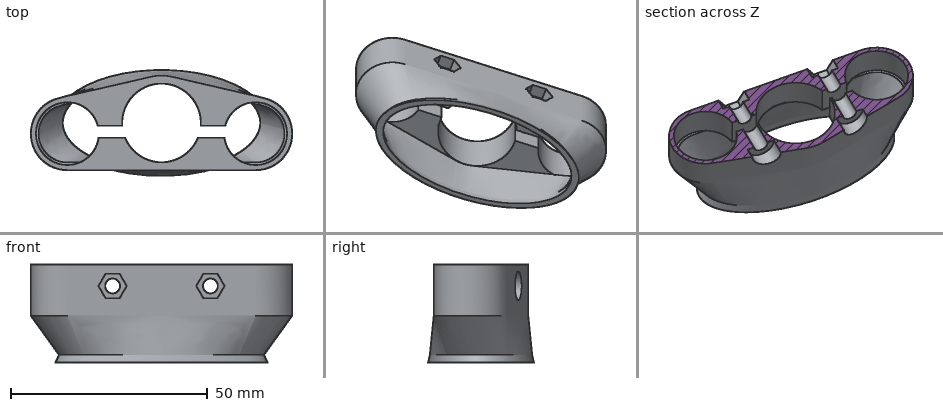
import cadquery as cq
import math

flange_height = 2.0
skirt_height = 10.0
clamp_height = 13.0
clamp_base = flange_height + skirt_height

overall_length = 66.5
center_radius = 12.05
lobe_radius = 9.3
lobe_x = overall_length / 2 - lobe_radius
lobe_y = lobe_radius - center_radius
center_bore_radius = 10.0
lobe_bore_radius = 8.0

foot_half_x = 27.0
foot_half_y = 13.5
waist_half_x = 26.05
waist_half_y = 13.0
opening_half_x = 25.05
opening_half_y = 12.25
wall = 2.0

slot_width = 3.0
slot_y = -2.25
bolt_x = 12.45
bolt_z = 19.5
bolt_diameter = 3.7
head_diameter = 7.2
nut_depth = 3.0
head_seat_y = 6.0


def clamp_outline(z, inset=0.0):
    """Tangent hull of the three clamp circles, reduced by inset."""
    big = center_radius - inset
    small = lobe_radius - inset
    tilt = 2 * math.atan2(-lobe_y, lobe_x)
    nx = math.sin(tilt)
    ny = math.cos(tilt)
    lobe_tangent = (lobe_x + small * nx, lobe_y + small * ny)
    center_tangent = (big * nx, big * ny)
    return (
        cq.Workplane("XY", origin=(0, 0, z))
        .moveTo(0, -big)
        .lineTo(lobe_x, -big)
        .threePointArc((lobe_x + small, lobe_y), lobe_tangent)
        .lineTo(*center_tangent)
        .threePointArc((0, big), (-center_tangent[0], center_tangent[1]))
        .lineTo(-lobe_tangent[0], lobe_tangent[1])
        .threePointArc((-lobe_x - small, lobe_y), (-lobe_x, -big))
        .close()
    )


def oval(z, half_x, half_y):
    """Ellipse starting at the middle of the front side."""
    plane = cq.Plane(origin=(0, 0, z), xDir=(0, -1, 0), normal=(0, 0, 1))
    return cq.Workplane(plane).ellipse(half_y, half_x)


def loft(lower, upper):
    """Ruled solid between two closed outlines."""
    wires = [lower.wires().val(), upper.wires().val()]
    return cq.Workplane(cq.Solid.makeLoft(wires, True))


def make_body():
    """Flared foot, transition skirt and clamp block, hollow below the clamp."""
    waist = oval(flange_height, waist_half_x, waist_half_y)
    foot = loft(oval(0, foot_half_x, foot_half_y), waist)
    skirt = loft(waist, clamp_outline(clamp_base))
    opening = oval(0, opening_half_x, opening_half_y).extrude(flange_height)
    cavity = loft(
        oval(flange_height, opening_half_x, opening_half_y),
        clamp_outline(clamp_base, wall),
    )
    shell = foot.cut(opening).union(skirt.cut(cavity))
    return shell.union(clamp_outline(clamp_base).extrude(clamp_height))


def tube_bores():
    """Three vertical bores through the clamp block, joined by the slot."""
    plane = cq.Workplane("XY", origin=(0, 0, clamp_base))
    center = plane.circle(center_bore_radius).extrude(clamp_height)
    lobe_centers = [(-lobe_x, lobe_y), (lobe_x, lobe_y)]
    lobes = plane.pushPoints(lobe_centers).circle(lobe_bore_radius).extrude(clamp_height)
    slot = plane.center(0, slot_y).rect(2 * lobe_x, slot_width).extrude(clamp_height)
    return center.union(lobes).union(slot)


def bolt_cutter(x):
    """Bolt hole with a hexagonal nut pocket in front and a round head seat behind."""
    front = cq.Workplane("XZ", origin=(x, -center_radius, bolt_z))
    seat = cq.Workplane("XZ", origin=(x, head_seat_y, bolt_z))
    hole = front.circle(bolt_diameter / 2).extrude(-2 * center_radius)
    nut = front.polygon(6, head_diameter).extrude(-nut_depth)
    head = seat.circle(head_diameter / 2).extrude(head_seat_y - center_radius)
    return hole.union(nut).union(head)


result = make_body().cut(tube_bores())
for x in (-bolt_x, bolt_x):
    result = result.cut(bolt_cutter(x))